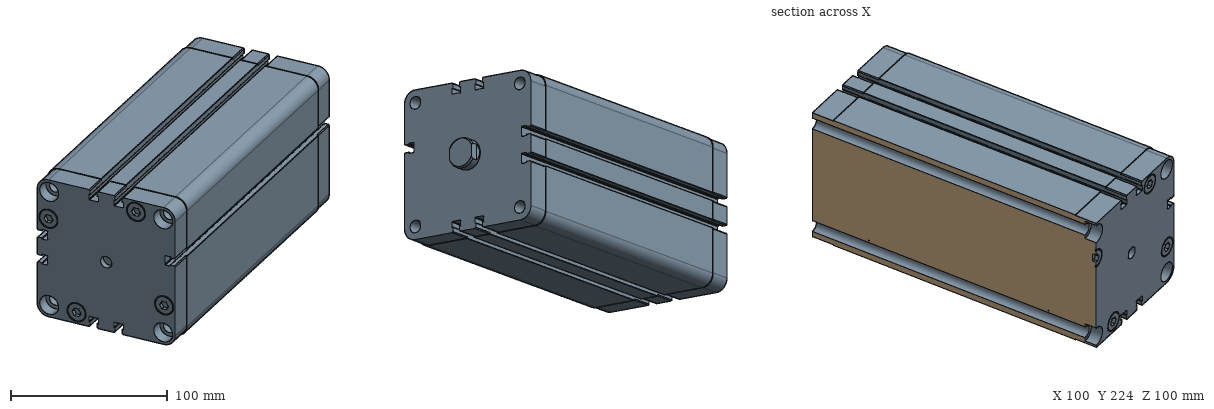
import cadquery as cq
import math

length = 224.0
rod_reach = 7.8
cap_length = 16.0
front = -length / 2
rear = length / 2 - rod_reach

tube_side = 100.0
cap_side = 99.0
corner_radius = 8.3

slot_neck = 5.2
slot_width = 6.7
slot_depth = 7.8
slot_lip = 4.0
slot_offset = 9.0
single_slot_offset = 11.6
slot_floor_bevel = 0.5
tube_mouth_bevel = 0.2
cap_mouth_bevel = 0.7
slot_overcut = 2.2

corner_pitch = 81.8
corner_hole = 8.3
counterbore = 13.5
counterbore_depth = 8.5

screw_near = 21.3
screw_far = 41.5
screw_recess = 13.5
screw_head = 12.5
screw_gap_depth = 1.0
socket_flats = 5.4
socket_depth = 2.7

centre_hole = 8.0
centre_hole_depth = 4.3

rod_diameter = 20.0
rod_flats = 17.0
flat_length = 5.5
rod_chamfer_length = 1.5
rod_chamfer_depth = 0.7


def section(y):
    """Sketch plane at height y along the body, facing +Y, with local axes X and -Z."""
    return cq.Workplane(cq.Plane(origin=(0, y, 0), xDir=(1, 0, 0), normal=(0, 1, 0)))


def rounded_block(side, y_start, y_end):
    block = section(y_start).rect(side, side).extrude(y_end - y_start)
    return block.edges("|Y").fillet(corner_radius)


def top_slot(offset, side, mouth_bevel):
    """T-slot cutter for the +Z side of a block, centred at X = offset.

    The depths count from the tube face, so the slot runs level through tube and caps.
    Only the bevel at the mouth follows the block's own face.
    """
    tube_face = tube_side / 2
    own_face = side / 2
    floor = tube_face - slot_depth
    mouth_half = slot_neck / 2 + mouth_bevel
    outline = [
        (mouth_half, own_face + slot_overcut),
        (mouth_half, own_face),
        (slot_neck / 2, own_face - mouth_bevel),
        (slot_neck / 2, tube_face - slot_lip),
        (slot_width / 2, tube_face - slot_lip),
        (slot_width / 2, floor + slot_floor_bevel),
        (slot_width / 2 - slot_floor_bevel, floor),
    ]
    mirrored = [(-x, z) for x, z in reversed(outline)]
    plane = cq.Plane(origin=(offset, rear, 0), xDir=(1, 0, 0), normal=(0, -1, 0))
    return cq.Workplane(plane).polyline(outline + mirrored).close().extrude(rear - front)


def turned(cutter, angle):
    """Turn a cutter about the body axis, carrying +Z towards +X for positive angles."""
    return cutter.rotate((0, 0, 0), (0, 1, 0), angle)


def slotted_block(side, y_start, y_end, mouth_bevel):
    """Block with pairs of slots at the top, bottom and -X sides and a single one at +X."""
    block = rounded_block(side, y_start, y_end)
    for angle in (0, 180, -90):
        for offset in (-slot_offset, slot_offset):
            block = block.cut(turned(top_slot(offset, side, mouth_bevel), angle))
    return block.cut(turned(top_slot(-single_slot_offset, side, mouth_bevel), 90))


def piston_rod():
    rod = section(rear).circle(rod_diameter / 2).extrude(rod_reach)
    rod = rod.faces(">Y").chamfer(rod_chamfer_length, rod_chamfer_depth)
    run_out = rod_diameter / 2 - rod_flats / 2
    tip = length / 2
    flat_start = tip - flat_length
    for side in (-1, 1):
        flat = (
            cq.Workplane("XY")
            .polyline([
                (side * rod_flats / 2, tip),
                (side * rod_flats / 2, flat_start),
                (side * (rod_flats / 2 + run_out), flat_start - run_out),
                (side * (rod_flats / 2 + run_out), tip),
            ])
            .close()
            .extrude(rod_diameter / 2, both=True)
        )
        rod = rod.cut(flat)
    return rod


caps = slotted_block(cap_side, front, rear, cap_mouth_bevel)
tube = slotted_block(tube_side, front + cap_length, rear - cap_length, tube_mouth_bevel)
body = caps.union(tube)

corners = section(front).rect(corner_pitch, corner_pitch, forConstruction=True).vertices()
body = body.cut(corners.circle(corner_hole / 2).extrude(rear - front))
body = body.cut(corners.circle(counterbore / 2).extrude(counterbore_depth))

screw_positions = [
    (screw_near, -screw_far),
    (screw_far, screw_near),
    (-screw_near, screw_far),
    (-screw_far, -screw_near),
]
screws = section(front).pushPoints(screw_positions)
socket_corners = socket_flats / math.cos(math.radians(30))
body = body.cut(screws.circle(screw_recess / 2).circle(screw_head / 2).extrude(screw_gap_depth))
body = body.cut(screws.polygon(6, socket_corners).extrude(socket_depth))

body = body.cut(section(front).circle(centre_hole / 2).extrude(centre_hole_depth))

result = body.union(piston_rod())